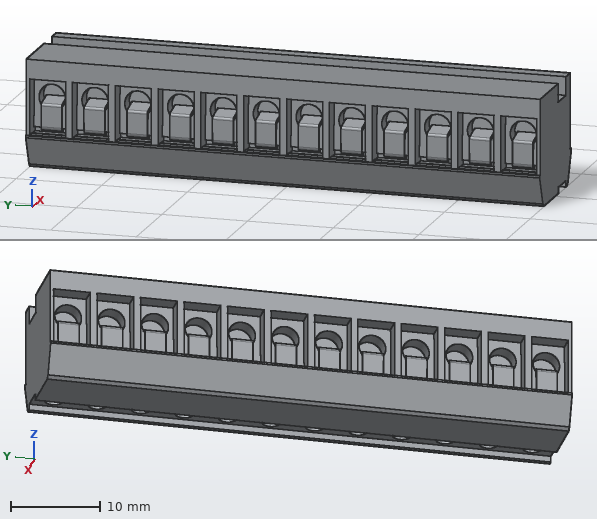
import cadquery as cq
import math

length = 60.0
height = 12.8
width_over_ribs = 12.4
rib_half_width = width_over_ribs / 2

left_wall_x = -6.0
right_wall_x = 5.8
rib_top_z = 3.95
rib_bottom_z = 3.7
base_half_width = 4.55
base_chamfer_run = 0.35
base_chamfer_rise = 0.35
driver_slot_left_x = 1.0
driver_slot_right_x = 4.1
driver_slot_depth = 2.15
foot_notch_left_x = 1.25
foot_notch_right_x = 4.0
foot_notch_height = 0.7

terminal_count = 12
pitch = length / terminal_count
screw_hole_diameter = 2.05
screw_hole_x = (driver_slot_left_x + driver_slot_right_x) / 2

window_width = 4.2
window_top_z = 10.5
window_floor_z = 3.95
sill_z = 4.0
sill_depth = 1.0
undercut_top_z = 4.55
window_top_depth = 1.9
window_bottom_depth = 1.7
undercut_depth = 2.15

wire_hole_diameter = 3.05
wire_hole_z = 8.05
wire_hole_depth = 1.8

clamp_width = 2.4
clamp_front_top_z = 7.3
clamp_back_top_z = 7.85
clamp_bottom_z = 4.15
clamp_face_depth = 1.5
clamp_top_radius = 0.3
clamp_bottom_radius = 0.55

lean_run = window_top_depth - window_bottom_depth
lean_rise = window_top_z - undercut_top_z
lean_angle = math.atan2(lean_run, lean_rise)


def leaning_wall_x(z):
    """X of the window's back wall at height z."""
    return left_wall_x + window_bottom_depth + (z - undercut_top_z) * math.tan(lean_angle)


def extrude_along_y(profile_points, width, y_centre):
    """Extrude an X-Z outline symmetrically about the given Y position."""
    outline = cq.Workplane("XZ", origin=(0, y_centre, 0)).polyline(profile_points).close()
    return outline.extrude(width / 2, both=True)


def housing():
    driver_slot_floor_z = height - driver_slot_depth
    profile = [
        (-base_half_width, 0),
        (foot_notch_left_x, 0),
        (foot_notch_left_x, foot_notch_height),
        (foot_notch_right_x, foot_notch_height),
        (foot_notch_right_x, 0),
        (base_half_width, 0),
        (base_half_width + base_chamfer_run, base_chamfer_rise),
        (rib_half_width, rib_bottom_z),
        (rib_half_width, rib_top_z),
        (right_wall_x, rib_top_z),
        (right_wall_x, height),
        (driver_slot_right_x, height),
        (driver_slot_right_x, driver_slot_floor_z),
        (driver_slot_left_x, driver_slot_floor_z),
        (driver_slot_left_x, height),
        (left_wall_x, height),
        (left_wall_x, rib_top_z),
        (-rib_half_width, rib_top_z),
        (-rib_half_width, rib_bottom_z),
        (-base_half_width - base_chamfer_run, base_chamfer_rise),
    ]
    return extrude_along_y(profile, length, 0)


def window(y):
    profile = [
        (-rib_half_width, sill_z),
        (left_wall_x + sill_depth, sill_z),
        (left_wall_x + sill_depth, window_floor_z),
        (left_wall_x + undercut_depth, window_floor_z),
        (left_wall_x + undercut_depth, undercut_top_z),
        (left_wall_x + window_bottom_depth, undercut_top_z),
        (left_wall_x + window_top_depth, window_top_z),
        (-rib_half_width, window_top_z),
    ]
    return extrude_along_y(profile, window_width, y)


def wire_hole(y):
    inward = cq.Vector(math.cos(lean_angle), 0, -math.sin(lean_angle))
    wall_centre = cq.Vector(leaning_wall_x(wire_hole_z), y, wire_hole_z)
    return cq.Solid.makeCylinder(wire_hole_diameter / 2, wire_hole_depth, wall_centre, inward)


def clamp(y):
    face_x = left_wall_x + clamp_face_depth
    back_x = left_wall_x + window_top_depth + wire_hole_depth
    profile = [
        (face_x, clamp_bottom_z),
        (back_x, clamp_bottom_z),
        (back_x, clamp_back_top_z),
        (face_x, clamp_front_top_z),
    ]
    plate = extrude_along_y(profile, clamp_width, y)
    plate = plate.faces("<X").edges(">Z").fillet(clamp_top_radius)
    return plate.faces("<X").edges("<Z").fillet(clamp_bottom_radius)


def screw_hole(y):
    return cq.Workplane("XY", origin=(screw_hole_x, y, 0)).circle(screw_hole_diameter / 2).extrude(height)


result = housing()
for index in range(terminal_count):
    terminal_y = (index - (terminal_count - 1) / 2) * pitch
    result = result.cut(window(terminal_y)).cut(wire_hole(terminal_y))
    result = result.union(clamp(terminal_y)).cut(screw_hole(terminal_y))